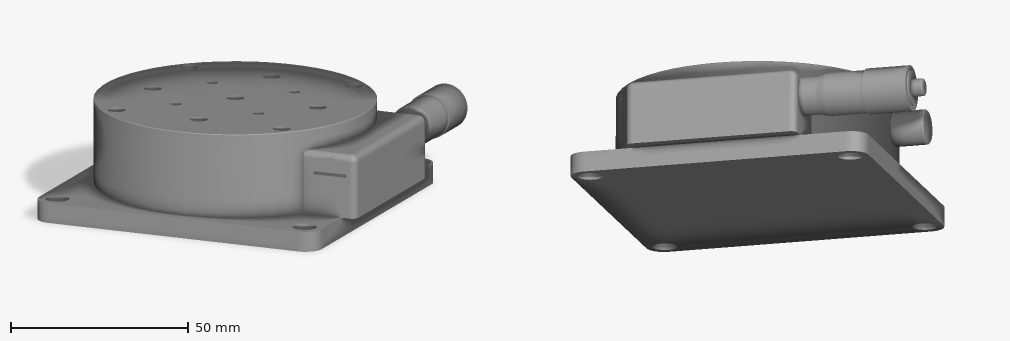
import cadquery as cq

overall_width = 91.5
overall_length = 104.0

base_thickness = 5.8
housing_height = 18.3
table_thickness = 5.8
housing_top = base_thickness + housing_height

base_side = 87.0
base_corner_radius = 5.1
base_hole_spacing = 76.1
base_hole_diameter = 6.9

table_diameter = 80.0
table_radius = table_diameter / 2
table_edge_chamfer = 0.2

large_hole_spacing = 25.4
large_hole_diameter = 5.0
small_hole_diameter = 3.3

block_inner_x = 32.0
block_outer_x = overall_width - base_side / 2
block_length = 50.0
block_fillet = 2.0
block_end_y = block_length / 2

drive_x = 40.0
drive_z = 18.0

ring_diameter = 10.0
plug_diameter = 9.0
plug_length = 5.0
plug_end_y = plug_length - block_end_y
plug_slot_width = 1.0
plug_slot_depth = 1.0

knob_diameter = 10.0
knob_length = 10.0
knob_chamfer = 0.4
stem_diameter = 6.0
stem_length = 1.8

sleeve_diameter = 10.8
thimble_diameter = 12.2
thimble_tip_diameter = 11.4
grip_diameter = 13.0
rim_diameter = 10.0
ratchet_diameter = 5.0
ratchet_fillet = 0.5
taper_length = 1.8
thimble_start_y = 30.6
grip_start_y = 44.0
grip_end_y = 56.7
rim_height = 0.4
micrometer_end_y = overall_length - base_side / 2


def rod(diameter, start_y, end_y, x=drive_x):
    """A round bar along Y at the height of the drive axis."""
    return (
        cq.Workplane("XZ", origin=(x, start_y, drive_z))
        .circle(diameter / 2)
        .extrude(start_y - end_y)
    )


def make_base():
    plate = cq.Workplane("XY").rect(base_side, base_side).extrude(base_thickness)
    plate = plate.edges("|Z").fillet(base_corner_radius)
    return (
        plate.faces(">Z").workplane()
        .rect(base_hole_spacing, base_hole_spacing, forConstruction=True)
        .vertices()
        .hole(base_hole_diameter)
    )


def make_block():
    block_width = block_outer_x - block_inner_x
    block = cq.Workplane("XY").box(block_width, block_length, housing_height)
    block = block.edges("(>X and |Z) or (>Z and |X) or (>Z and >X)").fillet(block_fillet)
    return block.translate((block_inner_x + block_width / 2, 0, base_thickness + housing_height / 2))


def make_housing():
    drum = cq.Workplane("XY", origin=(0, 0, base_thickness)).circle(table_radius).extrude(housing_height)
    ring_hole = rod(ring_diameter, -block_end_y, plug_end_y)
    stem_hole = rod(stem_diameter, table_radius - stem_length, table_radius, x=0)
    return drum.union(make_block()).cut(ring_hole).cut(stem_hole)


def make_table():
    table = cq.Workplane("XY", origin=(0, 0, housing_top)).circle(table_radius).extrude(table_thickness)
    table = table.faces(">Z").chamfer(table_edge_chamfer)
    table = (
        table.faces(">Z").workplane()
        .rarray(large_hole_spacing, large_hole_spacing, 3, 3)
        .hole(large_hole_diameter)
    )
    return (
        table.faces(">Z").workplane()
        .rarray(large_hole_spacing, large_hole_spacing, 2, 2)
        .hole(small_hole_diameter)
    )


def make_plug_slot():
    """The screwdriver slot that crosses both the plug and its ring."""
    return (
        cq.Workplane("XY")
        .box(ring_diameter, 2 * plug_slot_depth, plug_slot_width)
        .translate((drive_x, -block_end_y, drive_z))
    )


def make_plug():
    return rod(plug_diameter, -block_end_y, plug_end_y).cut(make_plug_slot())


def make_ring():
    bore = rod(plug_diameter, -block_end_y, plug_end_y)
    return rod(ring_diameter, -block_end_y, plug_end_y).cut(bore).cut(make_plug_slot())


def make_knob():
    knob = rod(knob_diameter, table_radius, table_radius + knob_length, x=0)
    knob = knob.faces("<Y or >Y").chamfer(knob_chamfer)
    return knob.union(rod(stem_diameter, table_radius - stem_length, table_radius, x=0))


def make_sleeve():
    return rod(sleeve_diameter, block_end_y, thimble_start_y)


def make_thimble():
    barrel = rod(thimble_diameter, thimble_start_y, grip_start_y)
    return barrel.faces("<Y").chamfer(taper_length, (thimble_diameter - thimble_tip_diameter) / 2)


def make_grip():
    return rod(grip_diameter, grip_start_y, grip_end_y)


def make_ratchet():
    rim = rod(rim_diameter, grip_end_y, grip_end_y + rim_height)
    stop = rod(ratchet_diameter, grip_end_y, micrometer_end_y)
    return rim.union(stop.faces(">Y").fillet(ratchet_fillet))


base = make_base()
housing = make_housing()
table = make_table()
plug = make_plug()
ring = make_ring()
knob = make_knob()
sleeve = make_sleeve()
thimble = make_thimble()
grip = make_grip()
ratchet = make_ratchet()

result = cq.Compound.makeCompound(
    [
        body.val()
        for body in (base, housing, table, plug, ring, knob, sleeve, thimble, grip, ratchet)
    ]
)